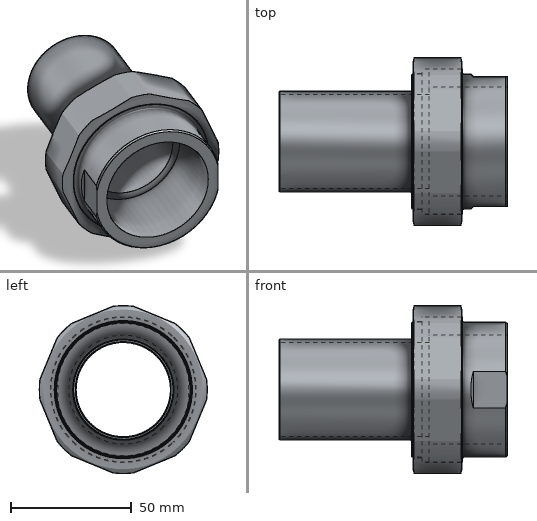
import cadquery as cq
import math

TOTAL_LENGTH = 94.5

TUBE_DIA = 42.0
TUBE_BORE_DIA = 39.0
TUBE_EDGE_CHAMFER = 0.4
NECK_FILLET = 0.4
COLLAR_START = 54.8
COLLAR_DIA = 56.0
COLLAR_CHAMFER = 0.4
FLANGE_DIA = 60.0
FLANGE_THICKNESS = 2.8

NUT_START = 55.5
NUT_END = 75.7
NUT_CORNER_DIA = 69.6
NUT_ACROSS_FLATS = 67.1
NUT_SIDES = 8
NUT_FACE_DIA = 66.15
NUT_CHAMFER_LENGTH = 0.5
NUT_LIP_THICKNESS = 3.8
NUT_LIP_BORE_DIA = 56.5
NUT_LIP_CHAMFER = 0.4
NUT_BORE_DIA = 60.4

FITTING_DIA = 56.0
FITTING_THREAD_DIA = 60.0
FITTING_BORE_DIA = 45.2
SHOULDER_FILLET_END = 76.6
SHOULDER_FILLET = 0.8
END_CHAMFER_LENGTH = 0.8
END_CHAMFER_DEPTH = 0.6
WRENCH_FLATS_WIDTH = 54.0
WRENCH_FLATS_START = 79.4

FLANGE_START = NUT_START + NUT_LIP_THICKNESS
FITTING_START = FLANGE_START + FLANGE_THICKNESS


def revolve_x(profile):
    """Revolve a closed (X, radius) profile around the X axis."""
    return profile.close().revolve(360, (0, 0, 0), (1, 0, 0))


def cylinder_x(start, end, diameter):
    """Solid cylinder along X."""
    return cq.Workplane("YZ", origin=(start, 0, 0)).circle(diameter / 2).extrude(end - start)


def make_tailpiece():
    bore = TUBE_BORE_DIA / 2
    tube = TUBE_DIA / 2
    collar = COLLAR_DIA / 2
    flange = FLANGE_DIA / 2
    neck_offset = NECK_FILLET * math.sqrt(0.5)
    neck_middle = (COLLAR_START - NECK_FILLET + neck_offset, tube + NECK_FILLET - neck_offset)
    profile = (
        cq.Workplane("XY")
        .moveTo(TUBE_EDGE_CHAMFER, bore)
        .lineTo(0, bore + TUBE_EDGE_CHAMFER)
        .lineTo(0, tube - TUBE_EDGE_CHAMFER)
        .lineTo(TUBE_EDGE_CHAMFER, tube)
        .lineTo(COLLAR_START - NECK_FILLET, tube)
        .threePointArc(neck_middle, (COLLAR_START, tube + NECK_FILLET))
        .lineTo(COLLAR_START, collar - COLLAR_CHAMFER)
        .lineTo(COLLAR_START + COLLAR_CHAMFER, collar)
        .lineTo(FLANGE_START, collar)
        .lineTo(FLANGE_START, flange)
        .lineTo(FITTING_START, flange)
        .lineTo(FITTING_START, bore)
    )
    return revolve_x(profile)


def make_nut():
    octagon_corner_dia = NUT_ACROSS_FLATS / math.cos(math.pi / NUT_SIDES)
    octagon = (
        cq.Workplane("YZ", origin=(NUT_START, 0, 0))
        .polygon(NUT_SIDES, octagon_corner_dia)
        .extrude(NUT_END - NUT_START)
    )
    envelope = revolve_x(
        cq.Workplane("XY")
        .moveTo(NUT_START, 0)
        .lineTo(NUT_START, NUT_FACE_DIA / 2)
        .lineTo(NUT_START + NUT_CHAMFER_LENGTH, NUT_CORNER_DIA / 2)
        .lineTo(NUT_END - NUT_CHAMFER_LENGTH, NUT_CORNER_DIA / 2)
        .lineTo(NUT_END, NUT_FACE_DIA / 2)
        .lineTo(NUT_END, 0)
    )
    lip_bore = revolve_x(
        cq.Workplane("XY")
        .moveTo(NUT_START, 0)
        .lineTo(NUT_START, NUT_LIP_BORE_DIA / 2 + NUT_LIP_CHAMFER)
        .lineTo(NUT_START + NUT_LIP_CHAMFER, NUT_LIP_BORE_DIA / 2)
        .lineTo(FLANGE_START, NUT_LIP_BORE_DIA / 2)
        .lineTo(FLANGE_START, 0)
    )
    main_bore = cylinder_x(FLANGE_START, NUT_END, NUT_BORE_DIA)
    return octagon.intersect(envelope).cut(lip_bore).cut(main_bore)


def wrench_flat_cutter(side):
    """Block beyond one wrench flat, with a 45 degree run-out; side is +1 or -1 along Y."""
    flat = WRENCH_FLATS_WIDTH / 2
    outside = FITTING_DIA
    return (
        cq.Workplane("XY", origin=(0, 0, -FITTING_DIA / 2))
        .moveTo(TOTAL_LENGTH, side * flat)
        .lineTo(WRENCH_FLATS_START + FITTING_DIA / 2 - flat, side * flat)
        .lineTo(WRENCH_FLATS_START + FITTING_DIA / 2 - outside, side * outside)
        .lineTo(TOTAL_LENGTH, side * outside)
        .close()
        .extrude(FITTING_DIA)
    )


def make_fitting():
    bore = FITTING_BORE_DIA / 2
    thread = FITTING_THREAD_DIA / 2
    outer = FITTING_DIA / 2
    shoulder = SHOULDER_FILLET_END - SHOULDER_FILLET
    fillet_top = outer + SHOULDER_FILLET
    fillet_offset = SHOULDER_FILLET * math.sqrt(0.5)
    fillet_middle = (SHOULDER_FILLET_END - fillet_offset, fillet_top - fillet_offset)
    profile = (
        cq.Workplane("XY")
        .moveTo(FITTING_START, bore)
        .lineTo(FITTING_START, thread)
        .lineTo(shoulder, thread)
        .lineTo(shoulder, fillet_top)
        .threePointArc(fillet_middle, (SHOULDER_FILLET_END, outer))
        .lineTo(TOTAL_LENGTH - END_CHAMFER_LENGTH, outer)
        .lineTo(TOTAL_LENGTH, outer - END_CHAMFER_DEPTH)
        .lineTo(TOTAL_LENGTH, bore)
    )
    fitting = revolve_x(profile)
    for side in (1, -1):
        fitting = fitting.cut(wrench_flat_cutter(side))
    return fitting


tailpiece = make_tailpiece()
nut = make_nut()
fitting = make_fitting()

result = cq.Compound.makeCompound([tailpiece.val(), nut.val(), fitting.val()])